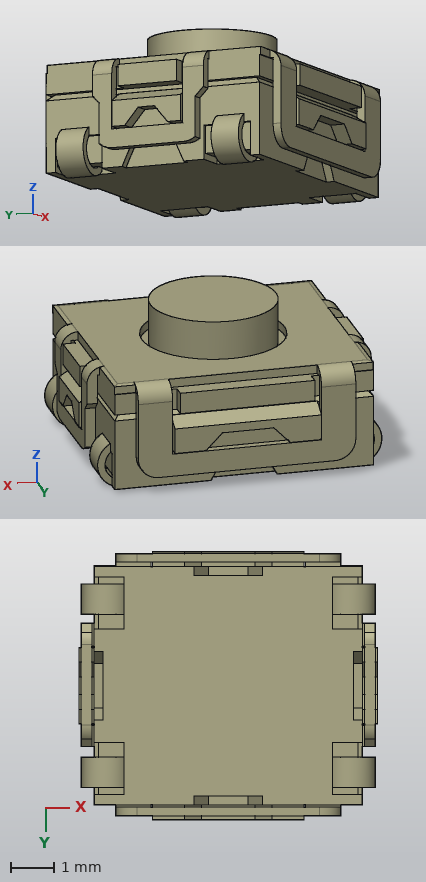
import cadquery as cq
import math


total_x = 6.9
total_y = 6.2
body_x = 6.195
body_y = 5.5
body_half_x = body_x / 2
body_half_y = body_y / 2

button_top = 3.4
button_diameter = 3.0
button_hole_diameter = 3.4

cover_top = 2.55
cover_thickness = 0.21
cover_bottom = cover_top - cover_thickness
bend_radius = 0.41
cover_shift_y = 0.025
cover_half_x = 3.4
cover_half_y = 3.03
plate_x = body_x
plate_y = body_y
leg_corner_radius = 0.5
window_bottom = 0.84

leg_y_half_width = 2.6
leg_y_window_half = 1.78
leg_y_window_lip = 0.03
leg_y_thickness = 0.2
leg_y_bottom = 0.3

leg_x_front_width = 1.45
leg_x_rear_width = 1.41
leg_x_lower_half = 1.235
leg_x_shoulder_z = 1.65
leg_x_window_half = 0.91
leg_x_thickness = 0.25
leg_x_bottom = 0.4

split_z = 1.84
lower_chamfer = 0.145
tab_out_x = 3.395
tab_out_y = 3.05
tab_x_half_width = 0.75
tab_y_half_width = 1.61

rail_bottom = 0.89
rail_edge_z = 1.5
rail_root_z = 1.71
rail_x_half_width = 0.88
rail_y_half_width = 1.75
rail_notch_top = 1.29
rail_x_notch_half = 0.55
rail_x_notch_top_half = 0.21
rail_y_notch_half = 1.01
rail_y_notch_top_half = 0.615

foot_half_width = 0.795
foot_x_taper = 0.47
foot_y_taper = 0.56
foot_height = 0.6
foot_depth = 0.2

lead_radius = 0.58
lead_thickness = 0.18
lead_drop = 0.1
lead_width = 0.705
lead_centre_y = 2.0
lead_centre_x = cover_half_x - lead_radius
lead_centre_z = lead_radius - lead_drop
pocket_inner_y = 1.31
pocket_outer_y = 2.51
pocket_height = 0.8
pocket_depth = 0.1
pocket_lip_z = 0.15
pocket_lip_depth = 0.69


def block(x_range, y_range, z_range):
    """Box between the given limits."""
    size = [high - low for low, high in (x_range, y_range, z_range)]
    return cq.Workplane("XY").box(*size, centered=False).translate((x_range[0], y_range[0], z_range[0]))


def side_prism(points, inner, outer):
    """Extrude an (along, Z) outline outward on the -Y side, between two distances from the centre."""
    return cq.Workplane("XZ", origin=(0, -inner, 0)).polyline(points).close().extrude(outer - inner)


def on_both_sides(shape, plane):
    return shape.union(shape.mirror(plane))


def on_y_sides(shape):
    """Place a shape made on the -Y side on both Y sides."""
    return on_both_sides(shape, "XZ")


def on_x_sides(shape):
    """Turn a shape made on the -Y side to the -X side and place it on both X sides."""
    return on_both_sides(shape.rotate((0, 0, 0), (0, 0, 1), -90), "YZ")


def rail(face, outer, half_width, notch_half, notch_top_half):
    """Rail with a sloped top and a trapezoidal notch in its outer face, open at the underside."""
    profile = [
        (-face + lower_chamfer, rail_bottom),
        (-outer, rail_bottom),
        (-outer, rail_edge_z),
        (-face, rail_root_z),
        (-face + lower_chamfer, rail_root_z),
    ]
    body = cq.Workplane("YZ").polyline(profile).close().extrude(half_width, both=True)
    notch = side_prism(
        [
            (-notch_half, rail_bottom),
            (notch_half, rail_bottom),
            (notch_top_half, rail_notch_top),
            (-notch_top_half, rail_notch_top),
        ],
        face,
        outer,
    )
    return body.cut(notch)


def foot_recess(face, taper):
    top_half = foot_half_width - taper * foot_height
    outline = [(-foot_half_width, 0), (foot_half_width, 0), (top_half, foot_height), (-top_half, foot_height)]
    return side_prism(outline, face - foot_depth, face)


def lead_pocket():
    """Stepped pocket at the front of the -X side."""
    y_range = (-pocket_outer_y, -pocket_inner_y)
    upper = block((-body_half_x, -body_half_x + pocket_depth), y_range, (0, pocket_height))
    lower = block((-body_half_x, -body_half_x + pocket_lip_depth), y_range, (0, pocket_lip_z))
    return upper.union(lower)


def lead():
    """Curled lead at the front of the -X side."""
    return (
        cq.Workplane("XZ", origin=(-lead_centre_x, -lead_centre_y, lead_centre_z))
        .circle(lead_radius)
        .circle(lead_radius - lead_thickness)
        .extrude(lead_width / 2, both=True)
    )


def at_four_corners(shape):
    return on_both_sides(on_both_sides(shape, "XZ"), "YZ")


def tab(outer, half_width):
    return block((-half_width, half_width), (-outer, 0), (split_z, cover_bottom))


def housing():
    lower = (
        cq.Workplane("XY")
        .box(body_x, body_y, split_z, centered=(True, True, False))
        .faces(">Z")
        .chamfer(lower_chamfer)
    )
    upper = (
        cq.Workplane("XY", origin=(0, 0, split_z))
        .box(body_x, body_y, cover_bottom - split_z, centered=(True, True, False))
    )
    body = (
        lower.union(upper)
        .cut(on_x_sides(foot_recess(body_half_x, foot_x_taper)))
        .cut(on_y_sides(foot_recess(body_half_y, foot_y_taper)))
        .cut(at_four_corners(lead_pocket()))
    )
    rail_x = rail(body_half_x, total_x / 2, rail_x_half_width, rail_x_notch_half, rail_x_notch_top_half)
    rail_y = rail(body_half_y, total_y / 2, rail_y_half_width, rail_y_notch_half, rail_y_notch_top_half)
    return (
        body.union(on_x_sides(tab(tab_out_x, tab_x_half_width)))
        .union(on_y_sides(tab(tab_out_y, tab_y_half_width)))
        .union(on_x_sides(rail_x))
        .union(on_y_sides(rail_y))
        .union(at_four_corners(lead()))
    )


def bend_drop(overhang):
    """Height lost along the bend arc at a distance past its start."""
    return bend_radius - math.sqrt(bend_radius**2 - overhang**2)


def cover_plate():
    """Flat plate whose rim slopes down where the bends begin."""
    flat_x = 2 * (cover_half_x - bend_radius)
    flat_y = 2 * (cover_half_y - bend_radius)
    rim_z = cover_top - bend_drop((plate_y - flat_y) / 2)
    plate = cq.Workplane("XY", origin=(0, 0, cover_bottom)).rect(plate_x, plate_y)
    plate = plate.extrude(rim_z - cover_bottom)
    crown = (
        cq.Workplane("XY", origin=(0, 0, rim_z))
        .rect(plate_x, plate_y)
        .workplane(offset=cover_top - rim_z)
        .rect(flat_x, flat_y)
        .loft(ruled=True)
    )
    return plate.union(crown)


def window(outer, half_width, lip=0):
    """Opening in a leg, reaching in to where the bend starts, less an optional lip."""
    inner = outer - bend_radius + lip
    return block((-half_width, half_width), (-outer, -inner), (window_bottom, cover_top))


def leg(outer, thickness, left, right, bottom):
    """Leg on the -Y side, bent down from the plate, with rounded lower corners."""
    bend_start = outer - bend_radius
    bend_z = cover_top - bend_radius
    bend_mid = bend_radius * math.sqrt(0.5)
    strip = (
        cq.Workplane("YZ", origin=(-left, 0, 0))
        .moveTo(-bend_start, cover_top)
        .threePointArc((-bend_start - bend_mid, bend_z + bend_mid), (-outer, bend_z))
        .lineTo(-outer, bottom)
        .lineTo(-outer + thickness, bottom)
        .lineTo(-outer + thickness, cover_bottom)
        .lineTo(-bend_start, cover_bottom)
        .close()
        .extrude(left + right)
    )
    return strip.faces("<Z").edges("|Y").fillet(leg_corner_radius)


def shoulder_trim(upper_width):
    """Material removed beside an X leg below its 45 degree shoulder, on the +X flank before turning."""
    step = upper_width - leg_x_lower_half
    outline = [
        (leg_x_lower_half, 0),
        (upper_width, 0),
        (upper_width, leg_x_shoulder_z),
        (leg_x_lower_half, leg_x_shoulder_z - step),
    ]
    return side_prism(outline, cover_half_x - leg_x_thickness, cover_half_x)


def cover():
    leg_y = leg(cover_half_y, leg_y_thickness, leg_y_half_width, leg_y_half_width, leg_y_bottom)
    window_y = window(cover_half_y, leg_y_window_half, leg_y_window_lip)
    plate = cover_plate().union(on_y_sides(leg_y)).cut(on_y_sides(window_y))
    plate = plate.translate((0, -cover_shift_y, 0))
    leg_x = (
        leg(cover_half_x, leg_x_thickness, leg_x_rear_width, leg_x_front_width, leg_x_bottom)
        .cut(shoulder_trim(leg_x_front_width))
        .cut(shoulder_trim(leg_x_rear_width).mirror("YZ"))
    )
    body = plate.union(on_x_sides(leg_x)).cut(on_x_sides(window(cover_half_x, leg_x_window_half)))
    hole = cq.Workplane("XY", origin=(0, 0, cover_bottom)).circle(button_hole_diameter / 2)
    return body.cut(hole.extrude(cover_thickness))


def button():
    base = cq.Workplane("XY", origin=(0, 0, cover_bottom)).circle(button_diameter / 2)
    return base.extrude(button_top - cover_bottom)


result = housing().union(cover()).union(button())